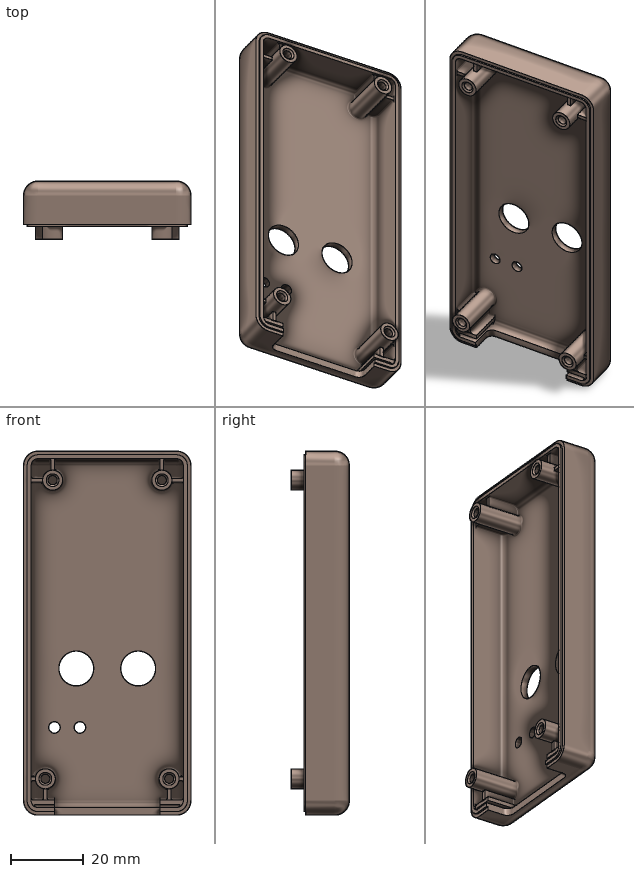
import cadquery as cq
import math

WIDTH = 46.0
HEIGHT = 100.0
SHOULDER_DEPTH = 12.0
LIP_DEPTH = 12.5
BOSS_DEPTH = 16.0
OUTER_RADIUS = 4.0
WALL = 2.1
FLOOR = 2.0
LIP_INSET = 1.0

TOP_BOSS_X = 15.0
TOP_BOSS_Z = 42.0
BOTTOM_BOSS_X = 17.0
BOTTOM_BOSS_Z = -40.0
BOSS_DIAMETER = 5.5
SCREW_HOLE_DIAMETER = 2.5
SCREW_HOLE_DEPTH = 10.0
SCREW_HOLE_CHAMFER = 0.5
CHAMFER_ANGLE = 45.0
RIB_THICKNESS = 1.0
RIB_DEPTH = 11.8
BASE_FILLET = 0.5
GROOVE_FILLET = 0.4

SLOT_WIDTH = 29.0
SLOT_FLOOR_DEPTH = 5.0
SLOT_CORNER_RADIUS = 2.0
RAIL_DEPTH = SHOULDER_DEPTH
RAIL_THICKNESS = 1.2
RAIL_GAP = 0.9

LARGE_HOLE_DIAMETER = 9.5
LARGE_HOLE_X = 8.5
LARGE_HOLE_Z = -9.7
SMALL_HOLE_DIAMETER = 3.1
SMALL_HOLE_XS = (-14.5, -7.5)
SMALL_HOLE_Z = -25.9

INNER_X = WIDTH / 2 - WALL
INNER_Z = HEIGHT / 2 - WALL
RAIL_BOTTOM_Z = -INNER_Z + RAIL_GAP
RAIL_TOP_Z = RAIL_BOTTOM_Z + RAIL_THICKNESS

RADIUS_MARGIN = 0.001
TOUCH_TOLERANCE = 0.001


def front_plane(depth):
    """Plane at a depth in front of the back face; extrusions go toward -Y."""
    return cq.Workplane("XZ", origin=(0, -depth, 0))


def rounded_block(inset, start, end):
    """Block with the case outline shrunk by an inset, between two depths."""
    return (
        front_plane(start)
        .rect(WIDTH - 2 * inset, HEIGHT - 2 * inset)
        .extrude(end - start)
        .edges("|Y")
        .fillet(OUTER_RADIUS - inset)
    )


def dished_block(inset, start, end):
    """Rounded block whose back edge is rounded as much as its corners."""
    back_radius = OUTER_RADIUS - inset - RADIUS_MARGIN
    return rounded_block(inset, start, end).faces(">Y").edges().fillet(back_radius)


def block(x0, x1, z0, z1, start, end):
    """Axis-aligned block between two corners and two depths."""
    return (
        front_plane(start)
        .center((x0 + x1) / 2, (z0 + z1) / 2)
        .rect(abs(x1 - x0), abs(z1 - z0))
        .extrude(end - start)
    )


def make_shell():
    """Dished case with a lip standing inside a shoulder on its rim."""
    body = dished_block(0, 0, SHOULDER_DEPTH)
    lip = rounded_block(LIP_INSET, OUTER_RADIUS, LIP_DEPTH)
    cavity = dished_block(WALL, FLOOR, LIP_DEPTH)
    return body.union(lip).cut(cavity)


def make_envelope():
    """Space the inner fittings may fill: the cavity and half of the wall around it."""
    return dished_block(WALL / 2, FLOOR / 2, BOSS_DEPTH)


def make_boss(x, z):
    return front_plane(FLOOR / 2).center(x, z).circle(BOSS_DIAMETER / 2).extrude(BOSS_DEPTH - FLOOR / 2)


def make_ribs(x, z, end_z):
    """Two ribs from a boss: one to the side wall, one up or down to end_z."""
    half = RIB_THICKNESS / 2
    side_rib = block(x, INNER_X + WALL / 2, z - half, z + half, FLOOR / 2, RIB_DEPTH)
    end_rib = block(x - half, x + half, z, end_z, FLOOR / 2, RIB_DEPTH)
    return side_rib.union(end_rib)


def make_rail():
    """Rail that forms a groove along the bottom wall beside the slot."""
    return block(SLOT_WIDTH / 2, INNER_X + WALL / 2, RAIL_BOTTOM_Z, RAIL_TOP_Z, FLOOR / 2, RAIL_DEPTH)


def make_screw_hole(x, z):
    radius = SCREW_HOLE_DIAMETER / 2
    hole = front_plane(BOSS_DEPTH - SCREW_HOLE_DEPTH).center(x, z).circle(radius).extrude(SCREW_HOLE_DEPTH)
    mouth = (
        front_plane(BOSS_DEPTH)
        .center(x, z)
        .circle(radius + SCREW_HOLE_CHAMFER)
        .extrude(-SCREW_HOLE_CHAMFER, taper=CHAMFER_ANGLE)
    )
    return hole.union(mouth)


def make_slot():
    """Connector opening through the bottom wall with rounded inner corners."""
    return (
        block(-SLOT_WIDTH / 2, SLOT_WIDTH / 2, -HEIGHT / 2, RAIL_BOTTOM_Z, SLOT_FLOOR_DEPTH, BOSS_DEPTH)
        .faces(">Y")
        .edges("|Z")
        .fillet(SLOT_CORNER_RADIUS)
    )


def make_floor_holes():
    large = [(side * LARGE_HOLE_X, LARGE_HOLE_Z) for side in (-1, 1)]
    small = [(x, SMALL_HOLE_Z) for x in SMALL_HOLE_XS]
    large_holes = front_plane(0).pushPoints(large).circle(LARGE_HOLE_DIAMETER / 2).extrude(FLOOR)
    small_holes = front_plane(0).pushPoints(small).circle(SMALL_HOLE_DIAMETER / 2).extrude(FLOOR)
    return large_holes.union(small_holes)


def mirrored(shape):
    """A shape on the +X side together with its mirror image."""
    return shape.union(shape.mirror("YZ"))


def touches(shape, vertex):
    return vertex.distance(shape.val()) < TOUCH_TOLERANCE


def junction_edges(case, first, second):
    """Edges of the case where two of its parts meet, apart from those at the front ends."""
    found = []
    for edge in case.edges().vals():
        middle = edge.positionAt(0.5)
        vertex = cq.Vertex.makeVertex(*middle.toTuple())
        behind_front = -middle.y < RIB_DEPTH - TOUCH_TOLERANCE
        if behind_front and touches(first, vertex) and touches(second, vertex):
            found.append(edge)
    return found


def is_rail_end(edge):
    middle = edge.positionAt(0.5)
    at_slot_side = abs(abs(middle.x) - SLOT_WIDTH / 2) < TOUCH_TOLERANCE
    return at_slot_side and middle.z < RAIL_TOP_Z - TOUCH_TOLERANCE


def in_groove(edge):
    return edge.positionAt(0.5).z < RAIL_BOTTOM_Z + TOUCH_TOLERANCE


def faces_corner(edge):
    """Whether an edge is a boss base arc in the corner enclosed by the two ribs."""
    middle = edge.positionAt(0.5)
    boss_x, boss_z = (TOP_BOSS_X, TOP_BOSS_Z) if middle.z > 0 else (BOTTOM_BOSS_X, BOTTOM_BOSS_Z)
    across = abs(middle.x) - boss_x
    along = abs(middle.z) - abs(boss_z)
    on_boss = abs(math.hypot(across, along) - BOSS_DIAMETER / 2) < TOUCH_TOLERANCE
    return on_boss and across > RIB_THICKNESS and along > RIB_THICKNESS


def fillet_junctions(case, shell, posts, rails):
    """Round the inner corners around the bosses, ribs and rails."""
    main_edges = junction_edges(case, shell, posts) + junction_edges(case, posts, rails)
    main_edges = [edge for edge in main_edges if not faces_corner(edge)]
    rail_edges = [edge for edge in junction_edges(case, shell, rails) if not is_rail_end(edge)]
    main_edges += [edge for edge in rail_edges if not in_groove(edge)]
    case = case.newObject(main_edges).fillet(BASE_FILLET)
    rail_edges = [edge for edge in junction_edges(case, shell, rails) if not is_rail_end(edge)]
    groove_edges = [edge for edge in rail_edges if in_groove(edge)]
    return case.newObject(groove_edges).fillet(GROOVE_FILLET)


top_boss = (TOP_BOSS_X, TOP_BOSS_Z)
bottom_boss = (BOTTOM_BOSS_X, BOTTOM_BOSS_Z)

shell = make_shell()
envelope = make_envelope()
top_post = make_boss(*top_boss).union(make_ribs(*top_boss, INNER_Z + WALL / 2))
bottom_post = make_boss(*bottom_boss).union(make_ribs(*bottom_boss, RAIL_TOP_Z))
posts = mirrored(top_post.union(bottom_post)).intersect(envelope)
rails = mirrored(make_rail()).intersect(envelope)

result = fillet_junctions(shell.union(posts).union(rails), shell, posts, rails)
screw_holes = make_screw_hole(*top_boss).union(make_screw_hole(*bottom_boss))
result = result.cut(mirrored(screw_holes)).cut(make_slot()).cut(make_floor_holes())